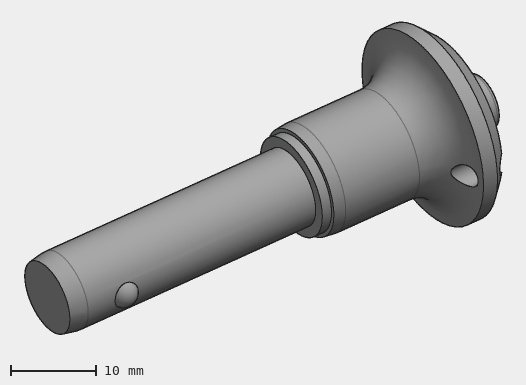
import cadquery as cq
import math

tip_round_end = 2.35
ball_station = 7.8
collar_start = 34.6
collar_end = 35.9
body_taper_end = 37.45
flare_start = 47.9
rim_start = 53.25
rim_end = 55.2
flange_end = 57.25
overall_length = 61.9

tip_radius = 4.65
shank_radius = 5.0
collar_radius = 6.4
body_nose_radius = 6.9
body_radius = 7.05
rim_radius = 12.5
flange_end_radius = 10.5
button_radius = 3.5
button_fillet = 0.5

ball_radius = 1.8
ball_reach = 6.05
hole_radius = 1.55
hole_offset = 9.95


def make_turned_body():
    """Revolve the stepped shank, handle and button about the Y axis."""
    flare_run = rim_radius - body_radius
    flare_rise = rim_start - flare_start
    diagonal = 0.5 ** 0.5
    flare_middle = (
        rim_radius - flare_run * diagonal,
        flare_start + flare_rise * diagonal,
    )
    tip_inset = shank_radius - tip_radius
    tip_round_radius = (tip_round_end**2 + tip_inset**2) / (2 * tip_inset)
    half_angle = math.asin(tip_round_end / tip_round_radius) / 2
    tip_middle = (
        shank_radius - tip_round_radius * (1 - math.cos(half_angle)),
        tip_round_end - tip_round_radius * math.sin(half_angle),
    )
    button_fillet_setback = button_fillet * (1 - diagonal)
    button_fillet_middle = (
        button_radius - button_fillet_setback,
        overall_length - button_fillet_setback,
    )
    profile = (
        cq.Workplane("XY")
        .moveTo(0, 0)
        .lineTo(tip_radius, 0)
        .threePointArc(tip_middle, (shank_radius, tip_round_end))
        .lineTo(shank_radius, collar_start)
        .lineTo(collar_radius, collar_start)
        .lineTo(collar_radius, collar_end)
        .lineTo(body_nose_radius, collar_end)
        .lineTo(body_radius, body_taper_end)
        .lineTo(body_radius, flare_start)
        .threePointArc(flare_middle, (rim_radius, rim_start))
        .lineTo(rim_radius, rim_end)
        .lineTo(flange_end_radius, flange_end)
        .lineTo(button_radius, flange_end)
        .lineTo(button_radius, overall_length - button_fillet)
        .threePointArc(button_fillet_middle, (button_radius - button_fillet, overall_length))
        .lineTo(0, overall_length)
        .close()
    )
    return profile.revolve(360, (0, 0, 0), (0, 1, 0))


def make_ball(side):
    """Locking ball on the +X (side = 1) or -X (side = -1) flank of the shank."""
    center_x = side * (ball_reach - ball_radius)
    return cq.Workplane("XY").sphere(ball_radius).translate((center_x, ball_station, 0))


def make_lanyard_hole():
    """Cutter through the flange, parallel to the pin axis."""
    return (
        cq.Workplane("XZ")
        .center(hole_offset, 0)
        .circle(hole_radius)
        .extrude(-overall_length)
    )


result = make_turned_body()
for side in (-1, 1):
    result = result.union(make_ball(side))
result = result.cut(make_lanyard_hole())